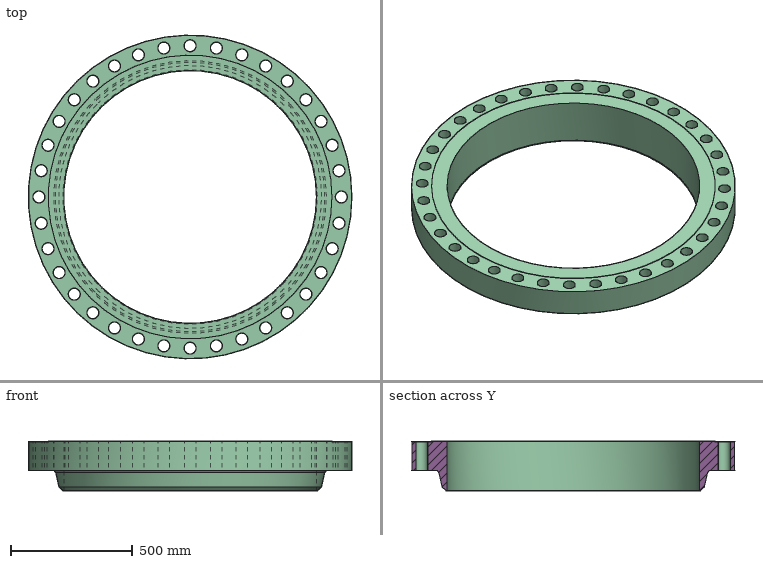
import cadquery as cq

outer_radius = 667.0
total_height = 205.0
bore_radius = 520.0

face_radius = 584.0
face_height = 2.0

plate_thickness = 120.0
plate_top = total_height - face_height
plate_bottom = plate_top - plate_thickness

root_radius = 561.0
root_height = 8.0
taper_top_radius = 555.0
taper_bottom_radius = 541.0
weld_end_radius = 524.0
bevel_height = 16.0

bolt_count = 36
bolt_circle_radius = 623.0
bolt_hole_diameter = 48.0


def flange_body():
    """Revolve the half section of the flange and hub around Z."""
    section = [
        (bore_radius, 0),
        (weld_end_radius, 0),
        (taper_bottom_radius, bevel_height),
        (taper_top_radius, plate_bottom - root_height),
        (root_radius, plate_bottom),
        (outer_radius, plate_bottom),
        (outer_radius, plate_top),
        (face_radius, plate_top),
        (face_radius, total_height),
        (bore_radius, total_height),
    ]
    return cq.Workplane("XZ").polyline(section).close().revolve(360, (0, 0, 0), (0, 1, 0))


def bolt_holes():
    """Cylinders that pass through the plate, the first one on the +X axis."""
    return (
        cq.Workplane("XY")
        .polarArray(bolt_circle_radius, 0, 360, bolt_count)
        .circle(bolt_hole_diameter / 2)
        .extrude(total_height)
    )


result = flange_body().cut(bolt_holes())